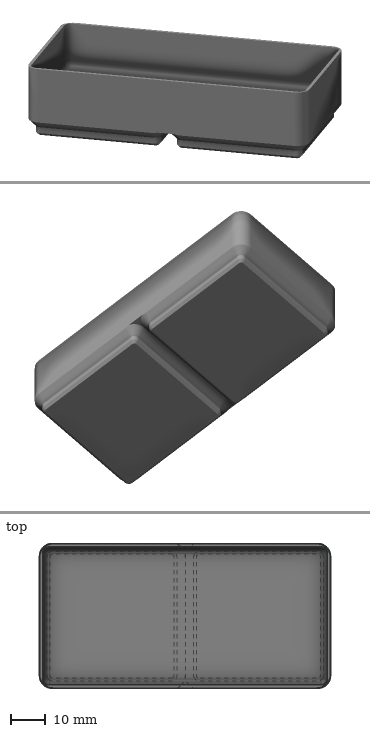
import cadquery as cq

cell_count = 2
cell_pitch = 42.0
clearance = 0.5

body_length = cell_count * cell_pitch - clearance
body_width = cell_pitch - clearance
total_height = 21.0
corner_radius = 3.75

cell_corner_radius = corner_radius + clearance / 2
lower_chamfer = 0.8
straight_height = 1.8
flare_height = 2.4
band_top = lower_chamfer + straight_height
foot_height = band_top + flare_height
band_size = cell_pitch - 2 * flare_height
band_radius = cell_corner_radius - flare_height

wall_thickness = 0.95
floor_height = 7.8
cavity_fillet = 1.8


def rounded_block(length, width, height, radius):
    """Block standing on Z = 0, centred on the Z axis, with rounded vertical edges."""
    block = cq.Workplane("XY").box(length, width, height, centered=(True, True, False))
    return block.edges("|Z").fillet(radius)


def make_foot():
    """One stepped foot standing on Z = 0, widening to the full cell at its top."""
    band = rounded_block(band_size, band_size, band_top, band_radius)
    band = band.faces("<Z").edges().chamfer(lower_chamfer)

    flare = rounded_block(cell_pitch, cell_pitch, 2 * flare_height, cell_corner_radius)
    flare = flare.faces("<Z").edges().chamfer(flare_height)
    flare_slab = cq.Workplane("XY").box(
        cell_pitch, cell_pitch, flare_height, centered=(True, True, False)
    )
    flare = flare.intersect(flare_slab)
    return band.union(flare.translate((0, 0, band_top)))


def make_feet():
    """Row of feet, one per cell, trimmed to the outline of the body."""
    first_x = -(cell_count - 1) / 2 * cell_pitch
    feet = cq.Workplane("XY")
    for cell in range(cell_count):
        feet = feet.add(make_foot().translate((first_x + cell * cell_pitch, 0, 0)))
    outline = rounded_block(body_length, body_width, foot_height, corner_radius)
    return feet.combine().intersect(outline)


def make_body():
    """Plain block above the feet."""
    block = rounded_block(body_length, body_width, total_height - foot_height, corner_radius)
    return block.translate((0, 0, foot_height))


def make_cavity():
    """Open-topped cavity whose floor edges and upright corners share one fillet radius."""
    cavity = cq.Workplane("XY").box(
        body_length - 2 * wall_thickness,
        body_width - 2 * wall_thickness,
        total_height - floor_height,
        centered=(True, True, False),
    )
    cavity = cavity.edges("|Z or <Z").fillet(cavity_fillet)
    return cavity.translate((0, 0, floor_height))


result = make_body().union(make_feet()).cut(make_cavity())